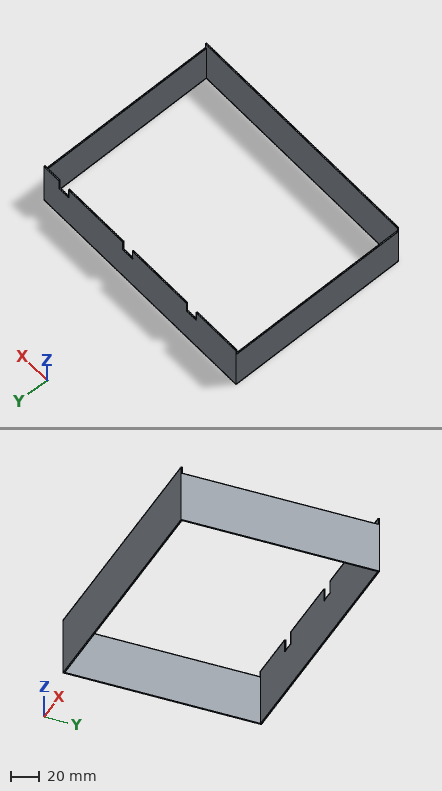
import cadquery as cq

length = 202.0
width = 152.0
height = 45.0
wall = 1.0

end_wall_drop = 5.0

notch_count = 3
notch_width = 10.0
notch_depth = 10.0
notch_pitch = 67.0
first_notch_start = 42.0


def open_frame():
    """Four thin walls around a rectangular opening, standing on Z = 0."""
    outer = cq.Workplane("XY").box(length, width, height, centered=(True, True, False))
    opening = cq.Workplane("XY").box(
        length - 2 * wall, width - 2 * wall, height, centered=(True, True, False)
    )
    return outer.cut(opening)


def end_wall_clearance():
    """Space above both end walls, between the long walls."""
    return (
        cq.Workplane("XY")
        .workplane(offset=height - end_wall_drop)
        .rect(length, width - 2 * wall)
        .extrude(end_wall_drop)
    )


def back_notch(start):
    """Notch through the back wall, starting this far from the left end."""
    return (
        cq.Workplane("XY")
        .box(notch_width, wall, notch_depth, centered=False)
        .translate((start - length / 2, width / 2 - wall, height - notch_depth))
    )


result = open_frame().cut(end_wall_clearance())
for index in range(notch_count):
    result = result.cut(back_notch(first_notch_start + index * notch_pitch))